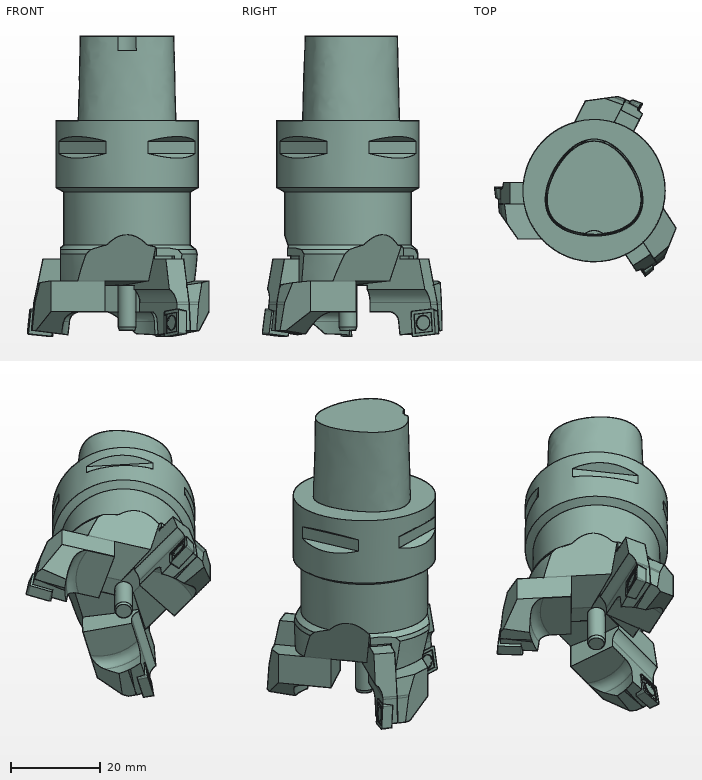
import cadquery as cq
import math


REACH = 60.0
arm_turns = (0.0, 123.0, 243.0)

taper_length = 19.0
taper_radius = 10.9
taper_lobe = 0.7
taper_rate = 1 / 40
taper_points = 60
key_radius = 3.3
key_centre_y = -12.25
key_depth = 3.2

flange_radius = 16.0
flange_bottom = -15.05
neck_radius = 14.25
neck_bottom = -27.95
flange_chamfer_height = (flange_radius - neck_radius) * math.tan(math.radians(30))
collar_radius = 15.8
collar_top = -29.0
collar_top_radius = 15.5
collar_bottom = -30.0
core_bottom_radius = collar_top_radius
core_bottom = -37.0

groove_count = 4
groove_first_angle = 45
groove_z = -6.0
groove_floor = 14.14
groove_half_height = 1.35
groove_flare = math.tan(math.radians(30))

rake_v = 1.88
insert_rake_v = 0.3
block_back_v = -2.95
arm_back_v = -10.9
arm_back_z = -36.0
block_top = -31.06
ramp_slope = math.tan(math.radians(6.5))
tail_allowance = 4.0
back_facet_turn = 6.0
facet_pivot_u = 20.0
back_corner_u = 17.1
corner_slope = 1.44
inner_u_rake = 5.8
inner_u_back = 4.9
flat_u = 15.0
flat_half_width = 6.0
relief_height = 0.65

arm_edge = [(18.9, block_top), (20.95, -40.8), (21.0, -41.3), (21.5, -47.1), (12.0, -48.3)]

gullet_lean = math.tan(math.radians(17.9))
step_top = -37.9
step_bottom = -40.9
scoop_ceiling = -42.97
scoop_bottom = -50.0
scoop_radius = 14.0
scoop_fillet = 2.2
scoop_flare = 0.5
scoop_centre_u = 0.4
scoop_centre_v = -6.0
heel_start_z = -42.9
heel_end_v = -5.3
heel_end_z = -47.8

pin_radius = 4.01 / 2
pin_bottom = -47.1
pin_root = 1.0
pin_lead_length = 0.7
pin_lead_depth = 0.25

insert_size = 5.8
insert_thickness = 2.38
insert_corner = 0.4
insert_clearance = 7.0
insert_tilt = 6.0
insert_axial_rake = math.radians(4)
insert_tip = (-22.45, 0.85, -47.99)
recess_size = 4.3
recess_depth = 0.25
screw_head_radius = 1.7
screw_radius = 2.5 / 2
screw_head_height = 1.0
screw_length = 5.0


def uz_prism(points, v_start, v_end):
    """Prism on the first arm with a (u, z) outline, running from v_start to v_end."""
    outline = [(-u, z) for u, z in points]
    return cq.Workplane("XZ", origin=(0, v_start, 0)).polyline(outline).close().extrude(v_start - v_end)


def vz_prism(points):
    """Prism right across the part along X with a (v, z) outline."""
    return cq.Workplane("YZ").polyline(points).close().extrude(REACH, both=True)


def turned(solid, angle):
    return solid.rotate((0, 0, 0), (0, 0, 1), angle)


def polygon_outline(radius):
    """Three-lobed trochoid with one lobe toward +Y."""
    points = []
    for i in range(taper_points):
        angle = 2 * math.pi * i / taper_points
        x = radius * math.sin(angle) - taper_lobe * math.sin(2 * angle)
        y = radius * math.cos(angle) + taper_lobe * math.cos(2 * angle)
        points.append((x, y))
    return points


def make_shank():
    top_radius = taper_radius - taper_length * taper_rate
    shank = (
        cq.Workplane("XY")
        .spline(polygon_outline(taper_radius), periodic=True).close()
        .workplane(offset=taper_length)
        .spline(polygon_outline(top_radius), periodic=True).close()
        .loft()
    )
    key = (
        cq.Workplane("XY", origin=(0, key_centre_y, taper_length - key_depth))
        .circle(key_radius).extrude(key_depth)
    )
    return shank.cut(key)


def make_core():
    """Flange, neck, collar and tapered cutter core as one turned profile."""
    profile = [
        (0, 0),
        (flange_radius, 0),
        (flange_radius, flange_bottom),
        (neck_radius, flange_bottom - flange_chamfer_height),
        (neck_radius, neck_bottom),
        (collar_top_radius, collar_top),
        (collar_radius, collar_bottom),
        (core_bottom_radius, core_bottom),
        (0, core_bottom),
    ]
    return cq.Workplane("XZ").polyline(profile).close().revolve(360, (0, 0), (0, 1))


def make_gripper_groove():
    """V-sided groove with a flat floor, cut across the +X side of the flange."""
    outer_x = 2 * flange_radius
    outer_half = groove_half_height + (outer_x - groove_floor) * groove_flare
    profile = [
        (groove_floor, groove_z - groove_half_height),
        (groove_floor, groove_z + groove_half_height),
        (outer_x, groove_z + outer_half),
        (outer_x, groove_z - outer_half),
    ]
    return cq.Workplane("XZ").polyline(profile).close().extrude(REACH, both=True)


def rake_front(angle):
    """Everything in front of the rake plane of the arm at the given turn."""
    space = cq.Workplane("XY", origin=(0, rake_v + REACH / 2, 0)).box(2 * REACH, REACH, 2 * REACH)
    return turned(space, angle)


def make_gullet(next_arm_turn):
    """Chip space behind the first arm: leaning wall above, ramped ceiling toward the axis."""
    wall_top = arm_back_z + (REACH + arm_back_v) / gullet_lean
    ramp_end_v = arm_back_v + (arm_back_z - core_bottom) / ramp_slope
    outline = [
        (arm_back_v, arm_back_z),
        (-REACH, wall_top),
        (-REACH, -REACH),
        (ramp_end_v, -REACH),
        (ramp_end_v, core_bottom),
    ]
    return vz_prism(outline).intersect(rake_front(next_arm_turn))


def make_flat():
    """Flat on the collar behind the arm block, with a shallow relief over the block."""
    flat = cq.Workplane("XY").box(REACH, 2 * flat_half_width, 2 * REACH)
    flat = flat.translate((-flat_u - REACH / 2, 0, 0))
    below_neck = cq.Workplane("XY", origin=(0, 0, -REACH)).rect(REACH, REACH).extrude(REACH + neck_bottom)
    relief = (
        cq.Workplane("XY", origin=(0, 0, block_top))
        .circle(flange_radius).circle(neck_radius).extrude(relief_height)
    )
    band = cq.Workplane("XY").box(REACH, rake_v - block_back_v, 2 * REACH)
    band = band.translate((-REACH / 2, (rake_v + block_back_v) / 2, 0))
    return flat.intersect(below_neck).union(relief.intersect(band))


def make_tail(arm_outline):
    """Lower part of the arm behind the block, with a relieved outer facet and a ramped top."""
    tail = uz_prism(arm_outline, arm_back_v - tail_allowance, block_back_v)
    tail = tail.rotate((-facet_pivot_u, block_back_v, 0), (-facet_pivot_u, block_back_v, 1), back_facet_turn)

    ramp_end_z = arm_back_z - (block_back_v - arm_back_v) * ramp_slope
    ramp = [
        (block_back_v, ramp_end_z),
        (block_back_v, 0),
        (-REACH, 0),
        (-REACH, arm_back_z + (REACH + arm_back_v) * ramp_slope),
    ]
    return tail.cut(vz_prism(ramp))


def make_arm_plan():
    """Upright prism with the plan shape of an arm, back corner cut off."""
    corner_end_u = back_corner_u + (rake_v - arm_back_v) / corner_slope
    plan = [
        (-inner_u_rake, rake_v),
        (-inner_u_back, arm_back_v),
        (-back_corner_u, arm_back_v),
        (-corner_end_u, rake_v),
    ]
    return cq.Workplane("XY", origin=(0, 0, -REACH)).polyline(plan).close().extrude(REACH)


def make_rake_step():
    """Sets the insert side back from the rake plane through a concave arc."""
    drop = step_top - step_bottom
    setback = rake_v - insert_rake_v
    step_radius = (drop**2 + setback**2) / (2 * setback)
    half_sweep = math.asin(drop / step_radius) / 2
    arc_mid = (
        insert_rake_v + step_radius * (1 - math.cos(half_sweep)),
        step_bottom + step_radius * math.sin(half_sweep),
    )
    return (
        cq.Workplane("YZ").moveTo(rake_v, step_top)
        .threePointArc(arc_mid, (insert_rake_v, step_bottom))
        .lineTo(insert_rake_v, -REACH)
        .lineTo(REACH, -REACH)
        .lineTo(REACH, step_top)
        .close().extrude(REACH, both=True)
    )


def make_scoop():
    """Round pocket under the arm with a filleted, slightly flared wall."""
    fillet_inset = scoop_fillet * (1 - math.sqrt(0.5))
    return (
        cq.Workplane("XZ").moveTo(0, scoop_ceiling)
        .lineTo(scoop_radius - scoop_fillet, scoop_ceiling)
        .threePointArc(
            (scoop_radius - fillet_inset, scoop_ceiling - fillet_inset),
            (scoop_radius, scoop_ceiling - scoop_fillet),
        )
        .lineTo(scoop_radius + scoop_flare, scoop_bottom)
        .lineTo(0, scoop_bottom)
        .close().revolve(360, (0, 0), (0, 1))
        .translate((-scoop_centre_u, scoop_centre_v, 0))
    )


def make_heel_bevel():
    """Sloped cut under the back of the arm."""
    heel_slope = (heel_end_z - heel_start_z) / (heel_end_v - arm_back_v)
    heel = [
        (arm_back_v - tail_allowance, heel_start_z - tail_allowance * heel_slope),
        (0, heel_start_z - arm_back_v * heel_slope),
        (arm_back_v - tail_allowance, heel_start_z - arm_back_v * heel_slope),
    ]
    return vz_prism(heel)


def make_arm():
    """One cutting arm in the position of the first arm."""
    arm_outline = arm_edge + [(0, arm_edge[-1][1]), (0, block_top)]
    block = uz_prism(arm_outline, block_back_v, rake_v)
    arm = block.union(make_tail(arm_outline)).intersect(make_arm_plan())
    return arm.cut(make_rake_step()).cut(make_scoop()).cut(make_heel_bevel())


def make_pin():
    """Plain pin on the axis with a slender lead-in at its tip."""
    profile = [
        (0, core_bottom + pin_root),
        (pin_radius, core_bottom + pin_root),
        (pin_radius, pin_bottom + pin_lead_length),
        (pin_radius - pin_lead_depth, pin_bottom),
        (0, pin_bottom),
    ]
    return cq.Workplane("XZ").polyline(profile).close().revolve(360, (0, 0), (0, 1))


def insert_plane():
    """Rake face of the insert, X outward along its bottom edge, origin at the cutting tip."""
    normal = (0, math.cos(insert_axial_rake), math.sin(insert_axial_rake))
    plane = cq.Plane(origin=insert_tip, xDir=(-1, 0, 0), normal=normal)
    return plane.rotated((0, 0, insert_tilt))


def insert_face():
    return cq.Workplane(insert_plane()).center(-insert_size / 2, insert_size / 2)


def make_insert_blank():
    outline = cq.Sketch().rect(insert_size, insert_size).vertices().fillet(insert_corner)
    return insert_face().placeSketch(outline).extrude(-insert_thickness, taper=insert_clearance)


def make_screw():
    profile = [
        (0, 0),
        (screw_head_radius, 0),
        (screw_radius, -screw_head_height),
        (screw_radius, -screw_length),
        (0, -screw_length),
    ]
    screw = cq.Workplane("XZ").polyline(profile).close().revolve(360, (0, 0), (0, 1))
    return cq.Workplane(screw.val().moved(cq.Location(insert_face().plane)))


def make_insert():
    recess = insert_face().rect(recess_size, recess_size).extrude(-recess_depth)
    return make_insert_blank().cut(recess).cut(make_screw())


body = make_core().union(make_shank())
for index in range(groove_count):
    body = body.cut(turned(make_gripper_groove(), groove_first_angle + index * 360 / groove_count))

for turn, next_turn in zip(arm_turns, (*arm_turns[1:], arm_turns[0] + 360)):
    body = body.cut(turned(make_gullet(next_turn - turn), turn))
for turn in arm_turns:
    body = body.cut(turned(make_flat(), turn))
for turn in arm_turns:
    body = body.union(turned(make_arm(), turn))
body = body.union(make_pin())

inserts = []
screws = []
for turn in arm_turns:
    body = body.cut(turned(make_insert_blank(), turn)).cut(turned(make_screw(), turn))
    inserts.append(turned(make_insert(), turn).val())
    screws.append(turned(make_screw(), turn).val())

result = cq.Compound.makeCompound([body.val(), *inserts, *screws])